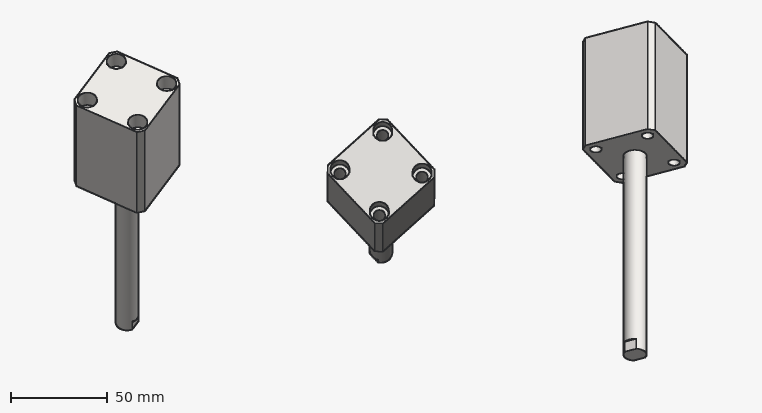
import cadquery as cq

body_width = 42.0
body_height = 65.0
corner_chamfer = 3.0

hole_spacing = 30.0
hole_diameter = 6.0
counterbore_diameter = 10.0
counterbore_depth = 10.0

rod_diameter = 12.0
rod_length = 120.0

flat_length = 6.0
across_flats = 10.0


def make_body():
    """Square block with chamfered upright edges."""
    block = cq.Workplane("XY").rect(body_width, body_width).extrude(body_height)
    return block.edges("|Z").chamfer(corner_chamfer)


def drill_mounting_holes(body):
    """Through holes, counterbored from the top face."""
    return (
        body.faces(">Z")
        .workplane()
        .rect(hole_spacing, hole_spacing, forConstruction=True)
        .vertices()
        .cboreHole(hole_diameter, counterbore_diameter, counterbore_depth)
    )


def make_rod():
    """Round rod whose free end is narrowed by two opposite flats."""
    round_length = rod_length - flat_length
    round_part = cq.Workplane("XY").circle(rod_diameter / 2).extrude(-round_length)
    end_part = (
        cq.Workplane("XY", origin=(0, 0, -round_length))
        .circle(rod_diameter / 2)
        .extrude(-flat_length)
    )
    space_between_flats = (
        cq.Workplane("XY", origin=(0, 0, -round_length))
        .rect(across_flats, rod_diameter)
        .extrude(-flat_length)
    )
    return round_part.union(end_part.intersect(space_between_flats))


result = drill_mounting_holes(make_body()).union(make_rod())